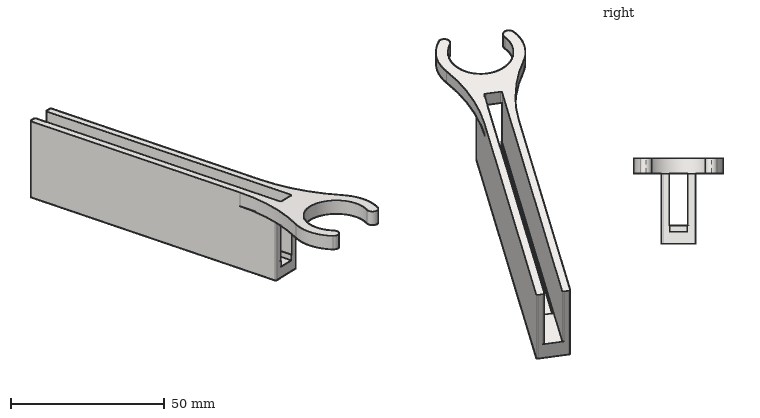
import cadquery as cq
import math

total_length = 128.8
total_height = 28.0
bar_length = 99.8
bar_width = 11.3
corner_radius = 0.5

slot_width = 5.9
floor_thickness = 6.0
recess_start = 14.2
recess_width = 5.7
recess_depth = 2.0

plate_thickness = 5.0
clip_width = 29.2
bore_radius = 10.7
neck_start = 85.1
ring_x = 120.1

ring_radius = clip_width / 2
arm_thickness = ring_radius - bore_radius
tip_radius = arm_thickness / 2
arm_radius = bore_radius + tip_radius
tip_angle = math.acos((total_length - tip_radius - ring_x) / arm_radius)
plate_bottom = total_height - plate_thickness

half_width = bar_width / 2
neck_run = ring_x - neck_start
neck_radius = (neck_run**2 + half_width**2 - ring_radius**2) / (2 * (ring_radius - half_width))
neck_angle = math.asin(neck_run / (neck_radius + ring_radius))


def ring_point(radius, angle, side):
    """Point around the ring centre, with side = 1 or -1 choosing the +Y or -Y half."""
    return (ring_x + radius * math.cos(angle), side * radius * math.sin(angle))


def neck_point(angle, side):
    """Point on the neck arc, at an angle turned from the bar side."""
    x = neck_start + neck_radius * math.sin(angle)
    y = half_width + neck_radius * (1 - math.cos(angle))
    return (x, side * y)


def tip_end(side):
    """Outermost point of the rounded arm tip."""
    x, y = ring_point(arm_radius, tip_angle, side)
    return (x + tip_radius * math.sin(tip_angle), y - side * tip_radius * math.cos(tip_angle))


def make_bar():
    bar = cq.Workplane("XY").box(bar_length, bar_width, total_height, centered=(False, True, False))
    return bar.edges("|Z").fillet(corner_radius)


def make_clip():
    outer_top = math.pi / 2
    outline = (
        cq.Workplane("XY", origin=(0, 0, plate_bottom))
        .moveTo(neck_start, -half_width)
        .threePointArc(neck_point(neck_angle / 2, -1), neck_point(neck_angle, -1))
        .threePointArc(ring_point(ring_radius, outer_top, -1), ring_point(ring_radius, tip_angle, -1))
        .threePointArc(tip_end(-1), ring_point(bore_radius, tip_angle, -1))
        .threePointArc((ring_x - bore_radius, 0), ring_point(bore_radius, tip_angle, 1))
        .threePointArc(tip_end(1), ring_point(ring_radius, tip_angle, 1))
        .threePointArc(ring_point(ring_radius, outer_top, 1), neck_point(neck_angle, 1))
        .threePointArc(neck_point(neck_angle / 2, 1), (neck_start, half_width))
        .close()
    )
    return outline.extrude(plate_thickness)


def make_channel():
    """Channel cutter: its inner end is closed by the plate above and open through the bar below."""
    channel = cq.Workplane("XY", origin=(0, 0, floor_thickness)).box(
        bar_length, slot_width, total_height - floor_thickness, centered=(False, True, False)
    )
    return channel.edges("|Z and >X").fillet(corner_radius)


def make_end_opening():
    """Full-width passage below the plate, opening the channel through the far end of the bar."""
    return cq.Workplane("XY", origin=(0, 0, floor_thickness)).box(
        bar_length, slot_width, plate_bottom - floor_thickness, centered=(False, True, False)
    )


def make_recess():
    """Shallow step down in the channel floor, running to the far end of the bar."""
    return cq.Workplane("XY", origin=(recess_start, 0, floor_thickness - recess_depth)).box(
        bar_length - recess_start, recess_width, recess_depth, centered=(False, True, False)
    )


body = make_bar().union(make_clip())
body = body.cut(make_channel()).cut(make_end_opening()).cut(make_recess())

entry_y = slot_width / 2 + corner_radius
entry_edges = cq.selectors.BoxSelector(
    (-corner_radius, -entry_y, floor_thickness),
    (corner_radius, entry_y, total_height),
)
result = body.edges("|Z").edges(entry_edges).fillet(corner_radius)